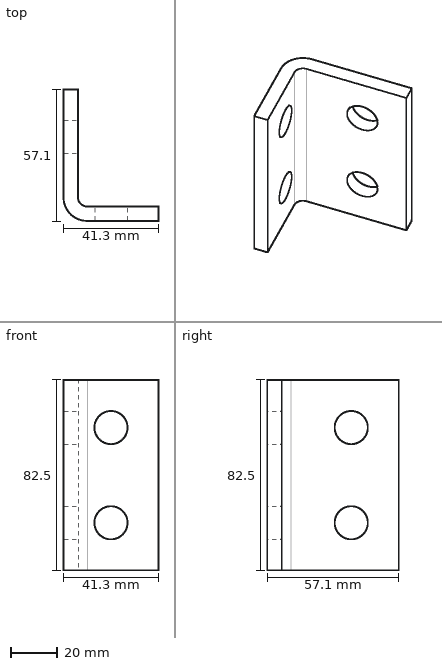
import cadquery as cq

width = 41.3
depth = 57.1
height = 82.55

thickness = 6.35
outer_bend_radius = 10.3
inner_bend_radius = outer_bend_radius - thickness

hole_diameter = 14.3
hole_edge_distance = 20.6
hole_heights = (hole_edge_distance, height - hole_edge_distance)


def bent_plate():
    """L-shaped plate with its outer corner at the origin and a rounded bend."""
    plate = (
        cq.Workplane("XY")
        .polyline([
            (0, 0),
            (width, 0),
            (width, thickness),
            (thickness, thickness),
            (thickness, depth),
            (0, depth),
        ])
        .close()
        .extrude(height)
    )
    outer_corner = cq.selectors.NearestToPointSelector((0, 0, height / 2))
    inner_corner = cq.selectors.NearestToPointSelector((thickness, thickness, height / 2))
    plate = plate.edges(inner_corner).fillet(inner_bend_radius)
    return plate.edges(outer_corner).fillet(outer_bend_radius)


def hole_cutter(start, direction):
    """Cylinder that passes through one leg of the plate."""
    return cq.Workplane(
        cq.Solid.makeCylinder(hole_diameter / 2, thickness, cq.Vector(*start), cq.Vector(*direction))
    )


result = bent_plate()
for z in hole_heights:
    short_leg_hole = hole_cutter((width - hole_edge_distance, 0, z), (0, 1, 0))
    long_leg_hole = hole_cutter((0, depth - hole_edge_distance, z), (1, 0, 0))
    result = result.cut(short_leg_hole).cut(long_leg_hole)